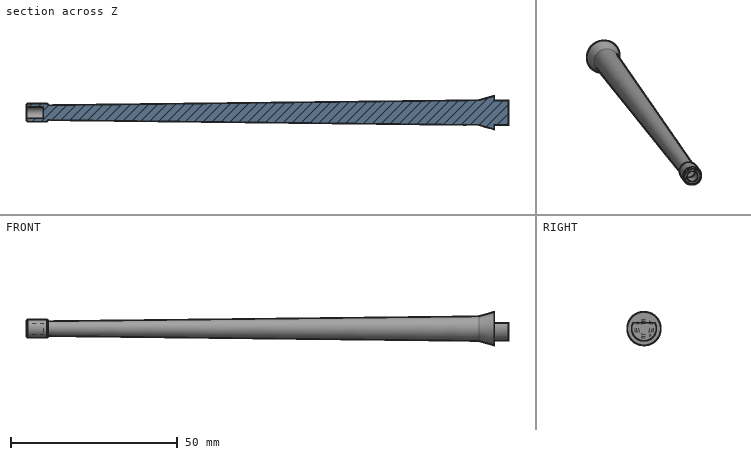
import cadquery as cq

total_length = 144.44
cap_length = 6.6
flare_length = 4.7
tang_length = 4.3
rod_length = total_length - cap_length - flare_length - tang_length

cap_diameter = 5.6
rod_tip_diameter = 4.55
rod_base_diameter = 7.5
flare_diameter = 10.14
tang_diameter = 7.4

cap_chamfer = 0.45
bore_diameter = 3.3
bore_depth = 5.0
tang_flat_height = 1.7

rod_start = cap_length
flare_start = rod_start + rod_length
tang_start = flare_start + flare_length


def make_cylinder(start, length, diameter):
    """Cylinder on the X axis."""
    return cq.Workplane("YZ", origin=(start, 0, 0)).circle(diameter / 2).extrude(length)


def make_cone(start, length, start_diameter, end_diameter):
    """Truncated cone on the X axis."""
    profile = (
        cq.Workplane("XY")
        .moveTo(start, 0)
        .lineTo(start, start_diameter / 2)
        .lineTo(start + length, end_diameter / 2)
        .lineTo(start + length, 0)
        .close()
    )
    return profile.revolve(360, (0, 0, 0), (1, 0, 0))


def make_cap():
    """Tip cap with both rims chamfered."""
    return make_cylinder(0, cap_length, cap_diameter).edges("%CIRCLE").chamfer(cap_chamfer)


def make_tang():
    """Round tang with one flat facing +Z."""
    tang = make_cylinder(tang_start, tang_length, tang_diameter)
    removed_height = tang_diameter / 2 - tang_flat_height
    flat_cutter = cq.Workplane("XY").box(
        tang_length, tang_diameter, removed_height, centered=(False, True, False)
    )
    return tang.cut(flat_cutter.translate((tang_start, 0, tang_flat_height)))


rod = make_cone(rod_start, rod_length, rod_tip_diameter, rod_base_diameter)
flare = make_cone(flare_start, flare_length, rod_base_diameter, flare_diameter)
tip_bore = make_cylinder(0, bore_depth, bore_diameter)

result = make_cap().union(rod).union(flare).union(make_tang()).cut(tip_bore)